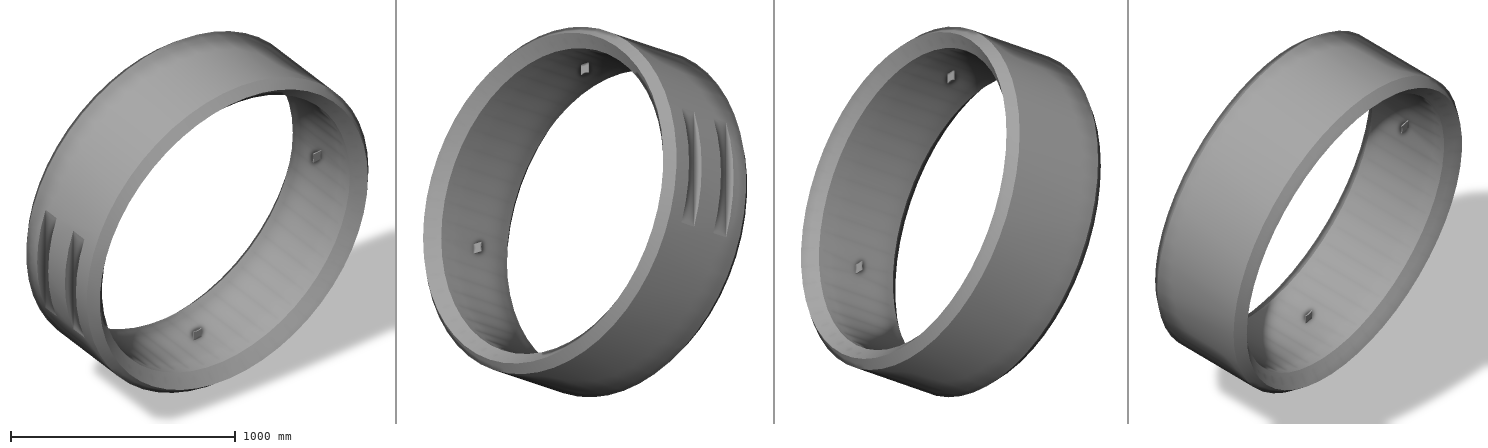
import cadquery as cq

outer_radius = 795.0
inner_radius = 700.0
ring_width = 526.0
rim_radius = 757.0
outer_bevel_width = 45.0
inner_bevel_width = rim_radius - inner_radius

slot_width = 80.0
slot_depth = 48.0
slot_offset = 100.0

tab_count = 4
tab_width = 45.0
tab_length = 48.0
tab_thickness = 5.0
tab_notch_depth = 5.0
tab_embed = 8.0


def make_ring():
    half_width = ring_width / 2
    outer_half = half_width - outer_bevel_width
    inner_half = half_width - inner_bevel_width
    profile = [
        (-half_width, rim_radius),
        (-outer_half, outer_radius),
        (outer_half, outer_radius),
        (half_width, rim_radius),
        (inner_half, inner_radius),
        (-inner_half, inner_radius),
    ]
    return cq.Workplane("XY").polyline(profile).close().revolve(360, (0, 0, 0), (1, 0, 0))


def make_slot(center_x):
    floor_y = slot_depth - outer_radius
    return (
        cq.Workplane("XY")
        .box(slot_width, outer_radius, 2 * outer_radius)
        .translate((center_x, floor_y - outer_radius / 2, 0))
    )


def make_tab(angle):
    """Tab in the YZ plane, its free end hollowed by a shallow arc."""
    half_width = tab_width / 2
    root = inner_radius + tab_embed
    tip = inner_radius - tab_length
    return (
        cq.Workplane("YZ")
        .moveTo(root, -half_width)
        .lineTo(tip, -half_width)
        .threePointArc((tip + tab_notch_depth, 0), (tip, half_width))
        .lineTo(root, half_width)
        .close()
        .extrude(tab_thickness / 2, both=True)
        .rotate((0, 0, 0), (1, 0, 0), angle)
    )


result = make_ring()
for side in (-1, 1):
    result = result.cut(make_slot(side * slot_offset))
for index in range(tab_count):
    result = result.union(make_tab(index * 360 / tab_count))